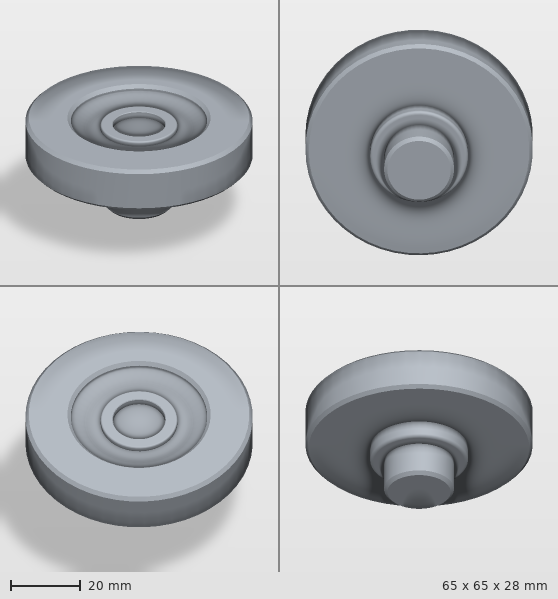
import cadquery as cq
import math

disc_radius = 32.5
disc_thickness = 13.0
hub_radius = 28.0 / 2
hub_height = 5.0
pin_radius = 20.0 / 2
pin_length = 10.0
edge_chamfer = 1.0
hub_fillet = 1.0
pin_chamfer = 1.0

recess_radius = 19.5
mouth_chamfer = 1.0
cone_top_depth = 1.75
wall_fillet = 0.5
cone_angle = math.radians(20)
floor_depth = 3.5
floor_fillet = 5.0

ring_radius = 22.0 / 2
ring_top_depth = 2.0
ring_fillet = 0.5
hole_radius = 15.0 / 2
hole_floor_depth = 4.0
hole_chamfer = 0.2


def cylinder(radius, bottom, top):
    """Solid cylinder on the Z axis between two heights."""
    return cq.Workplane("XY").workplane(offset=bottom).circle(radius).extrude(top - bottom)


def make_disc():
    return cylinder(disc_radius, 0, disc_thickness).edges().chamfer(edge_chamfer)


def make_hub():
    return cylinder(hub_radius, -hub_height, 0).faces("<Z").edges().fillet(hub_fillet)


def make_pin():
    bottom = -hub_height - pin_length
    return cylinder(pin_radius, bottom, -hub_height).faces("<Z").edges().chamfer(pin_chamfer)


def make_recess():
    """Dished cavity: chamfered mouth, short wall and cone, rounded at the wall and at the flat floor."""
    cone_foot_radius = recess_radius - (floor_depth - cone_top_depth) / math.tan(cone_angle)
    outline = [
        (0, disc_thickness),
        (recess_radius + mouth_chamfer, disc_thickness),
        (recess_radius, disc_thickness - mouth_chamfer),
        (recess_radius, disc_thickness - cone_top_depth),
        (cone_foot_radius, disc_thickness - floor_depth),
        (0, disc_thickness - floor_depth),
    ]
    recess = cq.Workplane("XZ").polyline(outline).close().revolve(360, (0, 0, 0), (0, 1, 0))
    recess = recess.faces("<Z").edges().fillet(floor_fillet)
    wall_edges = recess.edges("%CIRCLE").edges(cq.selectors.RadiusNthSelector(-2))
    return wall_edges.edges("<Z").fillet(wall_fillet)


def make_ring():
    ring = cylinder(ring_radius, disc_thickness - floor_depth, disc_thickness - ring_top_depth)
    return ring.faces(">Z").edges().fillet(ring_fillet)


def make_hole():
    """Blind hole through the ring, widened by a chamfer at its rim."""
    rim = disc_thickness - ring_top_depth
    hole = cylinder(hole_radius, disc_thickness - hole_floor_depth, rim)
    countersink = cq.Solid.makeCone(
        hole_radius, hole_radius + hole_chamfer, hole_chamfer, pnt=cq.Vector(0, 0, rim - hole_chamfer)
    )
    return hole.union(cq.Workplane(countersink))


body = make_disc().cut(make_recess()).union(make_ring()).cut(make_hole())
result = body.union(make_hub()).union(make_pin())